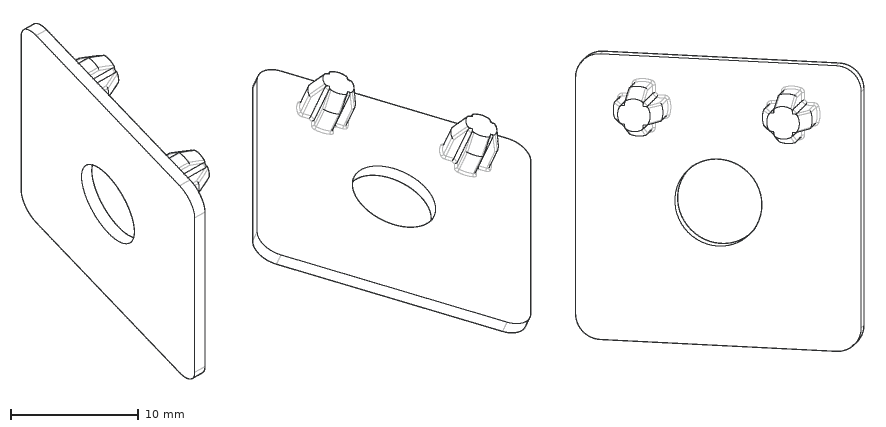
import cadquery as cq

plate_side = 23.0
plate_thickness = 1.01
corner_radius = 2.0
hole_diameter = 7.0

peg_x = 6.0
peg_z = 7.5
peg_radius = 2.0
peg_tip_radius = 1.3
peg_height = 3.5
peg_taper_height = 1.5
peg_taper_start = peg_height - peg_taper_height
core_radius = 1.29
rib_width = 1.5
rib_edge_radius = 0.2
core_tip_radius = 0.2
peg_base_radius = 0.18


def make_plate():
    """Square plate with rounded corners and a central hole."""
    plate = cq.Workplane("XZ").rect(plate_side, plate_side).extrude(plate_thickness)
    plate = plate.edges("|Y").fillet(corner_radius)
    return plate.faces("<Y").workplane(origin=(0, 0, 0)).hole(hole_diameter)


def make_peg():
    """Ribbed peg with a tapered tip, standing on Y = 0 around the Y axis."""
    taper_outline = (
        cq.Workplane("XY")
        .lineTo(peg_radius, 0)
        .lineTo(peg_radius, peg_taper_start)
        .lineTo(peg_tip_radius, peg_height)
        .lineTo(0, peg_height)
        .close()
    )
    envelope = taper_outline.revolve(360, (0, 0, 0), (0, 1, 0))
    rib = cq.Workplane("XZ").rect(2 * peg_radius, rib_width).extrude(-peg_height)
    cross = rib.union(rib.rotate((0, 0, 0), (0, 1, 0), 90)).intersect(envelope)

    inner_corners = cq.selectors.BoxSelector(
        (-core_radius, 0, -core_radius), (core_radius, peg_height, core_radius)
    )
    shank_edges = cross.edges(cq.selectors.ParallelDirSelector(cq.Vector(0, 1, 0)) - inner_corners)
    cross = cross.edges("%HYPERBOLA").add(shank_edges).fillet(rib_edge_radius)

    core = cq.Workplane("XZ").circle(core_radius).extrude(-peg_height)
    core = core.faces(">Y").edges().fillet(core_tip_radius)
    return cross.union(core)


result = make_plate()
for x in (-peg_x, peg_x):
    result = result.union(make_peg().translate((x, 0, peg_z)))

for x in (-peg_x, peg_x):
    base_zone = cq.selectors.BoxSelector(
        (x - peg_radius, -peg_base_radius / 2, peg_z - peg_radius),
        (x + peg_radius, peg_base_radius / 2, peg_z + peg_radius),
    )
    result = result.edges(base_zone).fillet(peg_base_radius)